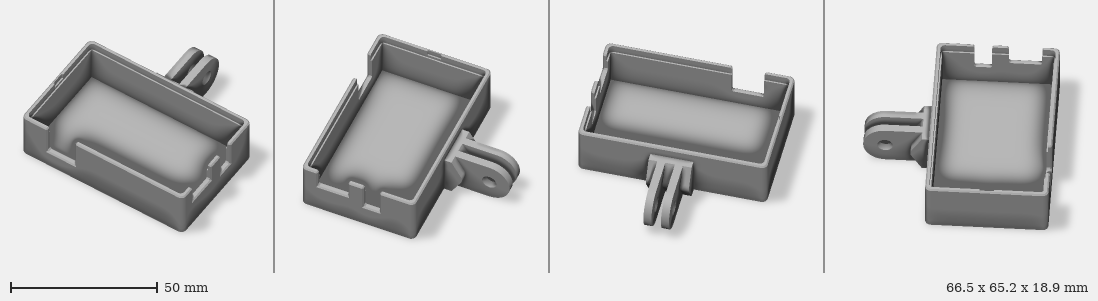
import cadquery as cq
import math

length = 66.5
width = 42.2
total_depth = 65.2
height = 18.9
wall = 1.9
floor = 1.5
corner_radius = 2.0
edge_chamfer = 0.5

rim_width = 1.4
seat_depth = 3.0
seat_radius = 1.5

front_notch_left = 10.6
front_notch_width = 11.45
front_notch_depth = 11.6

tall_notch_start = 13.0
tall_notch_width = 6.05
tall_notch_depth = 10.0
wide_notch_start = 24.75
wide_notch_width = 11.45
wide_notch_depth = 7.2

groove_width = 5.05
groove_start = 18.6
groove_lip = 0.8
groove_depth = 2.0

mount_height = 15.0
mount_reach = total_depth - width
base_width = 15.15
base_flat = 2.65
base_taper = 30
base_nose_radius = 2.8
prong_width = 2.8
prong_gap = 3.4
pin_hole_diameter = 5.3

selection_margin = 0.1

x_left = -length / 2
x_right = length / 2
y_front = -width / 2
y_back = width / 2


def box(x_min, x_max, y_min, y_max, z_min, z_max):
    """Axis-aligned block given by its limits."""
    size = (x_max - x_min, y_max - y_min, z_max - z_min)
    return cq.Workplane("XY").box(*size, centered=False).translate((x_min, y_min, z_min))


def back_to_y(distance):
    """Y position a given distance in from the back face."""
    return y_back - distance


def notches():
    """Pairs of a block to remove, reaching past the wall, and the axis it crosses the wall along."""
    reach = wall + 2 * edge_chamfer
    front_left = x_left + front_notch_left
    front_block = box(
        front_left, front_left + front_notch_width,
        y_front, y_front + reach,
        height - front_notch_depth, height,
    )
    pairs = [(front_block, "Y")]
    for start, span, depth in (
        (tall_notch_start, tall_notch_width, tall_notch_depth),
        (wide_notch_start, wide_notch_width, wide_notch_depth),
    ):
        notch_back = back_to_y(start)
        side_block = box(
            x_right - reach, x_right,
            notch_back - span, notch_back,
            height - depth, height,
        )
        pairs.append((side_block, "X"))
    return pairs


def edges_within(block):
    """Selector for the edges whose middle lies in a block or on its faces."""
    limits = block.val().BoundingBox().enlarge(selection_margin)
    low = (limits.xmin, limits.ymin, limits.zmin)
    high = (limits.xmax, limits.ymax, limits.zmax)
    return cq.selectors.BoxSelector(low, high)


def chamfered_block():
    """Rounded solid block with notches; outer edges, notch mouths and notch corners are chamfered."""
    block = box(x_left, x_right, y_front, y_back, 0, height).edges("|Z").fillet(corner_radius)
    for notch, _ in notches():
        block = block.cut(notch)

    outer_edges = cq.StringSyntaxSelector("<Z or >Z")
    for notch, axis in notches():
        outer_face = notch.faces("<Y" if axis == "Y" else ">X")
        outer_edges = outer_edges + edges_within(outer_face)
    block = block.edges(outer_edges).chamfer(edge_chamfer)

    for notch, axis in notches():
        along_wall_normal = cq.StringSyntaxSelector("|" + axis)
        bottom_corners = edges_within(notch.faces("<Z")) & along_wall_normal
        block = block.edges(bottom_corners).chamfer(edge_chamfer)
    return block


def inside():
    """Space removed inside the tray: cavity, lid seat and pry groove."""
    cavity = box(x_left + wall, x_right - wall, y_front + wall, y_back - wall, floor, height)
    seat = box(
        x_left + rim_width, x_right - rim_width,
        y_front + rim_width, y_back - rim_width,
        height - seat_depth, height,
    ).edges("|Z").fillet(seat_radius)
    groove_back = back_to_y(groove_start)
    groove = box(
        x_left + groove_lip, x_left + wall,
        groove_back - groove_width, groove_back,
        height - groove_depth, height,
    )
    return cavity.union(seat).union(groove)


def mount_base():
    """Block tapering to a rounded nose, with its flat root sunk into the back wall."""
    half_height = mount_height / 2
    nose = base_flat + half_height * math.tan(math.radians(base_taper))
    base = (
        cq.Workplane("YZ")
        .polyline([
            (y_back - edge_chamfer, 0),
            (y_back + base_flat, 0),
            (y_back + nose, half_height),
            (y_back + base_flat, mount_height),
            (y_back - edge_chamfer, mount_height),
        ])
        .close()
        .extrude(base_width / 2, both=True)
    )
    return base.edges(">Y").fillet(base_nose_radius)


def prong():
    """Round-ended plate with a pin hole, centred on X = 0."""
    radius = mount_height / 2
    pin_y = y_back + mount_reach - radius
    return (
        cq.Workplane("YZ")
        .moveTo(y_back, 0)
        .lineTo(pin_y, 0)
        .threePointArc((pin_y + radius, radius), (pin_y, mount_height))
        .lineTo(y_back, mount_height)
        .close()
        .moveTo(pin_y, radius)
        .circle(pin_hole_diameter / 2)
        .extrude(prong_width / 2, both=True)
    )


result = chamfered_block().cut(inside()).union(mount_base())
prong_offset = (prong_gap + prong_width) / 2
for side in (-1, 1):
    result = result.union(prong().translate((side * prong_offset, 0, 0)))